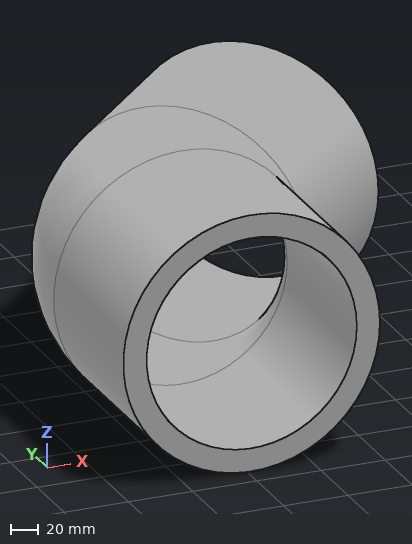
import cadquery as cq
import math

overall_length = 366.0
outer_diameter = 200.0
bore_diameter = 163.5
bend_radius = 104.7
bend_angle = 45.0

outer_radius = outer_diameter / 2
turn = math.radians(bend_angle)
leg_length = (overall_length - (bend_radius + outer_radius) * math.sin(turn)) / (1 + math.cos(turn))

bend_start = (0, leg_length)
bend_center = (bend_radius, leg_length)


def point_on_bend(angle):
    """Centreline point after turning by the given angle in radians."""
    return (
        bend_center[0] - bend_radius * math.cos(angle),
        bend_center[1] + bend_radius * math.sin(angle),
    )


bend_end = point_on_bend(turn)
pipe_end = (
    bend_end[0] + leg_length * math.sin(turn),
    bend_end[1] + leg_length * math.cos(turn),
)
centreline = (
    cq.Workplane("XY")
    .lineTo(*bend_start)
    .threePointArc(point_on_bend(turn / 2), bend_end)
    .lineTo(*pipe_end)
)

wall_section = cq.Workplane("XZ").circle(outer_radius).circle(bore_diameter / 2)
result = wall_section.sweep(centreline)